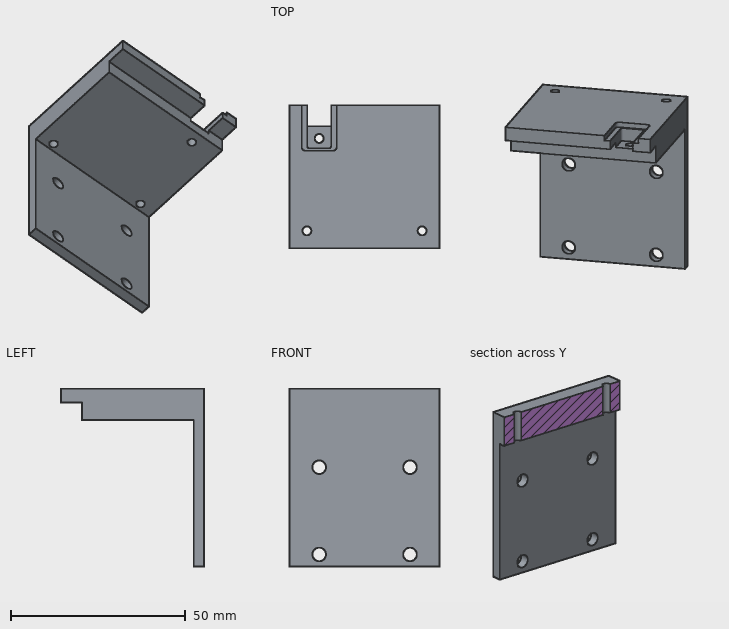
import cadquery as cq

width = 43.0
depth = 41.0
height = 51.0

plate_thickness = 3.0
shelf_thickness = 9.0
lip_length = 6.0
lip_thickness = 4.0

slot_center_x = 8.5
recess_width = 10.1
recess_length = 13.05
recess_depth = 1.5
recess_corner_radius = 1.1
slot_width = 6.8
slot_length = 12.4
slot_depth = 5.3
slot_corner_radius = 0.6

shelf_hole_diameter = 2.5
shelf_hole_inset = 5.0
slot_hole_from_rear = 9.55

plate_hole_diameter = 3.8
plate_hole_left_x = 8.5
plate_hole_bottom_z = 3.5
plate_hole_spacing_x = 26.0
plate_hole_spacing_z = 25.0


def bracket_body():
    """Side profile of the plate, shelf and lip, extruded along X."""
    shelf_end = depth - lip_length
    shelf_bottom = height - shelf_thickness
    lip_bottom = height - lip_thickness
    profile = [
        (0, 0),
        (plate_thickness, 0),
        (plate_thickness, shelf_bottom),
        (shelf_end, shelf_bottom),
        (shelf_end, lip_bottom),
        (depth, lip_bottom),
        (depth, height),
        (0, height),
    ]
    return cq.Workplane("YZ").polyline(profile).close().extrude(width)


def rear_slot(across, length, cut_depth, corner_radius):
    """Cutter sunk from the top, open at the rear, with rounded inner corners."""
    return (
        cq.Workplane("XY")
        .box(across, length, cut_depth, centered=(True, False, False))
        .edges("|Z and <Y")
        .fillet(corner_radius)
        .translate((slot_center_x, depth - length, height - cut_depth))
    )


def shelf_holes():
    centers = [
        (shelf_hole_inset, shelf_hole_inset),
        (width - shelf_hole_inset, shelf_hole_inset),
        (slot_center_x, depth - slot_hole_from_rear),
    ]
    return (
        cq.Workplane("XY", origin=(0, 0, height - shelf_thickness))
        .pushPoints(centers)
        .circle(shelf_hole_diameter / 2)
        .extrude(shelf_thickness)
    )


def plate_holes():
    centers = [
        (plate_hole_left_x + column * plate_hole_spacing_x, plate_hole_bottom_z + row * plate_hole_spacing_z)
        for column in range(2)
        for row in range(2)
    ]
    return (
        cq.Workplane("XZ")
        .pushPoints(centers)
        .circle(plate_hole_diameter / 2)
        .extrude(-plate_thickness)
    )


result = (
    bracket_body()
    .cut(rear_slot(recess_width, recess_length, recess_depth, recess_corner_radius))
    .cut(rear_slot(slot_width, slot_length, slot_depth, slot_corner_radius))
    .cut(shelf_holes())
    .cut(plate_holes())
)